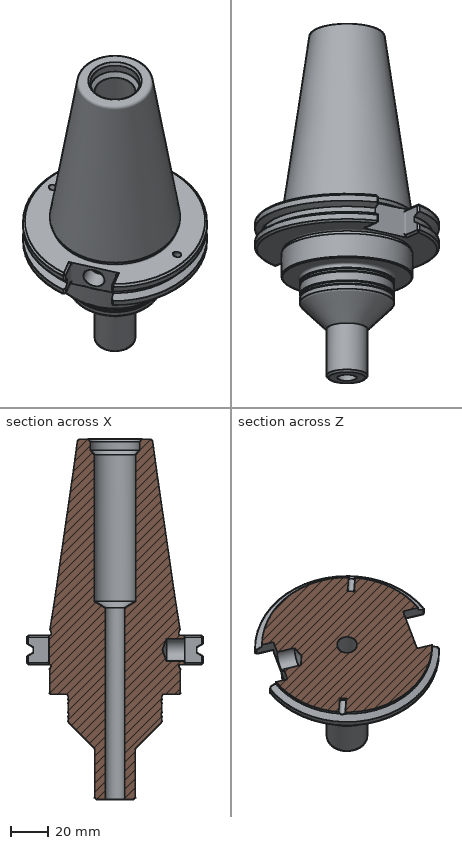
import cadquery as cq
import math

total_length = 192.7

shank_d = 22.0
shank_chamfer = 1.2
shank_top_z = 27.2

nose_d = 50.5
nose_chamfer = 0.5
nose_chamfer_height = 1.0
groove_d = 50.0
groove_mouth_width = 2.3
groove_floor_width = 1.2
groove_mid_heights = (45.5, 52.6)
nose_root_radius = 1.2

body_d = 70.1
body_bottom_z = 56.3
body_bottom_chamfer = 0.5

flange_d = 98.5
flange_bottom_z = 72.0
flange_height = 15.8
flange_chamfer = 1.2
vee_floor_d = 91.1
vee_floor_width = 2.9
vee_flank_angle = 30.0

slot_width = 25.8
slot_corner_radius = 0.5
front_slot_depth_y = 37.2
back_slot_depth_y = 35.3

dimple_d = 11.8
dimple_depth = 9.6
dimple_point_angle = 140.0

coolant_angle = 20.0
face_hole_d = 3.9
face_hole_radius = 41.8
face_hole_tilt = 35.0
groove_hole_d = 3.3

gauge_d = 69.8
gauge_z = 91.0
taper_ratio = 7 / 24
tip_radius = 2.0

undercut_depth = 0.8
lower_undercut_cone_height = 1.7
lower_undercut_fillet = 0.8
upper_undercut_fillet = 1.0

bore_mouth_d = 28.5
bore_mouth_depth = 1.5
counterbore_d = 26.4
counterbore_depth = 6.0
bore_d = 22.0
bore_step_depth = 8.5
bore_depth = 86.7
through_d = 10.5
bore_floor_angle = 118.0

flange_top_z = flange_bottom_z + flange_height
flange_mid_z = flange_bottom_z + flange_height / 2
tip_d = gauge_d - (total_length - gauge_z) * taper_ratio


def revolve(outline):
    """Turn a closed (radius, z) outline about the Z axis."""
    return outline.revolve(360, (0, 0, 0), (0, 1, 0))


def cone_height(large_r, small_r, point_angle):
    """Axial length of a cone with the given full point angle."""
    return (large_r - small_r) / math.tan(math.radians(point_angle / 2))


def groove_points(mid_z):
    """Outline of one shallow nose groove with sloped sides, from bottom to top."""
    return [
        (nose_d / 2, mid_z - groove_mouth_width / 2),
        (groove_d / 2, mid_z - groove_floor_width / 2),
        (groove_d / 2, mid_z + groove_floor_width / 2),
        (nose_d / 2, mid_z + groove_mouth_width / 2),
    ]


def make_spindle():
    """Solid of revolution from shank to taper tip, without the flange."""
    cone_top_r = nose_d / 2 - nose_chamfer
    cone_top_z = shank_top_z + cone_top_r - shank_d / 2
    nose_points = [(nose_d / 2, cone_top_z + nose_chamfer_height)]
    for mid_z in groove_mid_heights:
        nose_points += groove_points(mid_z)

    lower_root_z = flange_bottom_z - lower_undercut_fillet
    lower_root_r = body_d / 2 - undercut_depth
    upper_root_z = flange_top_z + upper_undercut_fillet
    upper_root_r = gauge_d / 2 - undercut_depth

    outline = (
        cq.Workplane("XZ")
        .polyline([
            (0, 0),
            (shank_d / 2 - shank_chamfer, 0),
            (shank_d / 2, shank_chamfer),
            (shank_d / 2, shank_top_z),
            (cone_top_r, cone_top_z),
            *nose_points,
            (nose_d / 2, body_bottom_z - nose_root_radius),
        ])
        .radiusArc((nose_d / 2 + nose_root_radius, body_bottom_z), nose_root_radius)
        .lineTo(body_d / 2 - body_bottom_chamfer, body_bottom_z)
        .lineTo(body_d / 2, body_bottom_z + body_bottom_chamfer)
        .lineTo(body_d / 2, lower_root_z - lower_undercut_cone_height)
        .lineTo(lower_root_r, lower_root_z)
        .radiusArc((lower_root_r + lower_undercut_fillet, flange_bottom_z), lower_undercut_fillet)
        .lineTo(upper_root_r + upper_undercut_fillet, flange_top_z)
        .radiusArc((upper_root_r, upper_root_z), upper_undercut_fillet)
        .lineTo(gauge_d / 2, gauge_z)
        .lineTo(tip_d / 2, total_length)
        .lineTo(0, total_length)
        .close()
    )
    return revolve(outline).faces(">Z").edges("%CIRCLE").fillet(tip_radius)


def slot_cutter(depth_y, side):
    """Drive slot open outwards on one side (-1 front, +1 back)."""
    reach = flange_d
    return (
        cq.Workplane("XY", origin=(0, side * (depth_y + reach / 2), flange_bottom_z))
        .rect(slot_width, reach)
        .extrude(flange_height)
    )


def at_slot_floor(edge):
    """True for an upright edge in a corner between a slot floor and a slot wall."""
    deepest = max(front_slot_depth_y, back_slot_depth_y)
    return abs(edge.Center().y) < deepest + slot_corner_radius


def make_flange():
    """Chamfered disc with two drive slots and a vee groove around its rim."""
    base = cq.Workplane("XY", origin=(0, 0, flange_bottom_z))
    flange = base.circle(flange_d / 2).extrude(flange_height)
    flange = flange.cut(slot_cutter(front_slot_depth_y, -1))
    flange = flange.cut(slot_cutter(back_slot_depth_y, 1))

    rim = flange.edges("%CIRCLE")
    walls = flange.edges("|Y")
    wall_ends = flange.edges("|Z").filter(lambda edge: not at_slot_floor(edge))
    flange = rim.add(walls).add(wall_ends).chamfer(flange_chamfer)

    floor_corners = flange.edges("|Z").filter(at_slot_floor)
    flange = floor_corners.fillet(slot_corner_radius)

    flank_rise = (flange_d - vee_floor_d) / 2 * math.tan(math.radians(vee_flank_angle))
    floor_half = vee_floor_width / 2
    vee = revolve(cq.Workplane("XZ").polyline([
        (vee_floor_d / 2, flange_mid_z - floor_half),
        (flange_d / 2, flange_mid_z - floor_half - flank_rise),
        (flange_d / 2, flange_mid_z + floor_half + flank_rise),
        (vee_floor_d / 2, flange_mid_z + floor_half),
    ]).close())
    return flange.cut(vee)


def make_dimple():
    """Blind drilled hole with a conical end, entering the front slot floor along +Y."""
    radius = dimple_d / 2
    inward = cq.Vector(0, 1, 0)
    mouth = cq.Vector(0, -front_slot_depth_y, flange_mid_z)
    point_length = cone_height(radius, 0, dimple_point_angle)
    barrel = cq.Solid.makeCylinder(radius, dimple_depth, mouth, inward)
    point = cq.Solid.makeCone(radius, 0, point_length, mouth + inward * dimple_depth, inward)
    return cq.Workplane(obj=barrel).union(cq.Workplane(obj=point))


def make_coolant_holes():
    """Inclined face hole and radial vee-groove hole on the -X side, meeting at flange mid height."""
    tilt = math.radians(face_hole_tilt)
    drop = flange_top_z - flange_mid_z
    meeting_r = face_hole_radius - drop * math.tan(tilt)
    meeting_point = cq.Vector(-meeting_r, 0, flange_mid_z)

    face_direction = cq.Vector(-math.sin(tilt), 0, math.cos(tilt))
    face_hole = cq.Solid.makeCylinder(face_hole_d / 2, flange_height, meeting_point, face_direction)
    groove_length = flange_d / 2 - meeting_r
    groove_hole = cq.Solid.makeCylinder(groove_hole_d / 2, groove_length, meeting_point, cq.Vector(-1, 0, 0))

    holes = cq.Workplane(obj=face_hole).union(cq.Workplane(obj=groove_hole))
    return holes.rotate((0, 0, 0), (0, 0, 1), -coolant_angle)


def make_bore():
    """Stepped bore open at the taper tip, with a through hole to the shank end."""
    floor_drop = cone_height(bore_d / 2, through_d / 2, bore_floor_angle)
    return revolve(cq.Workplane("XZ").polyline([
        (0, 0),
        (through_d / 2, 0),
        (through_d / 2, total_length - bore_depth - floor_drop),
        (bore_d / 2, total_length - bore_depth),
        (bore_d / 2, total_length - bore_step_depth),
        (counterbore_d / 2, total_length - counterbore_depth),
        (counterbore_d / 2, total_length - bore_mouth_depth),
        (bore_mouth_d / 2, total_length),
        (0, total_length),
    ]).close())


holder = make_spindle().union(make_flange())
holder = holder.cut(make_dimple())
coolant_holes = make_coolant_holes()
opposite_coolant_holes = coolant_holes.rotate((0, 0, 0), (0, 0, 1), 180)
holder = holder.cut(coolant_holes).cut(opposite_coolant_holes)
result = holder.cut(make_bore())